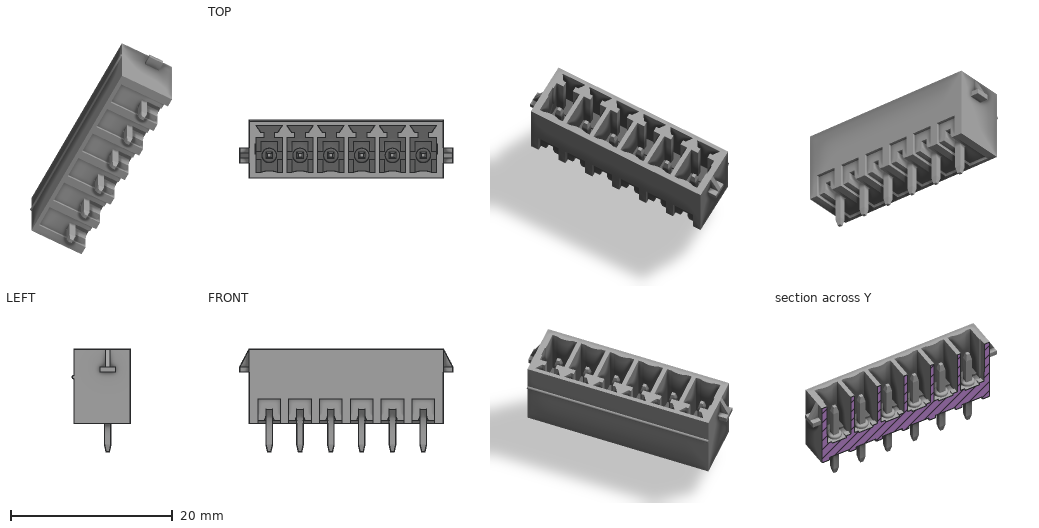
import cadquery as cq


POLES = 6
PITCH = 3.81
END_MARGIN = 2.5
LENGTH = (POLES - 1) * PITCH + 2 * END_MARGIN
POLE_X = [(i - (POLES - 1) / 2) * PITCH for i in range(POLES)]

DEPTH = 7.0
HEIGHT = 9.2
FRONT_Y = -2.8
BACK_Y = FRONT_Y + DEPTH

FLOOR_Z = 3.0
CELL_WIDTH = 3.25
CELL_FRONT_Y = FRONT_Y + 0.7
CELL_BACK_Y = FRONT_Y + 5.0
BULGE_WIDTH = 2.15
BULGE_RISE = 0.2

NECK_WIDTH = 1.35
SHOULDER_WIDTH = 2.1
SHOULDER_Y = FRONT_Y + 5.65
KEYWAY_BACK_Y = FRONT_Y + 6.5

FLOOR_RECESS = 0.3
RECESS_WIDTH = 2.0
RECESS_BACK_Y = FRONT_Y + 4.5
CROSS_BAR_WIDTH = 1.04
RECESS_Z = FLOOR_Z - FLOOR_RECESS

COLLAR_DIAMETER = 1.8
COLLAR_ROUND = 0.21
COLLAR_HEIGHT = 0.4

GROOVE_DEPTH = 0.12
GROOVE_FRONT_Y = FRONT_Y + 3.0
GROOVE_BACK_Y = FRONT_Y + 4.2
GROOVE_RISE = 2.0

NOTCH_WIDTH = 2.8
NOTCH_HEIGHT = 3.05
NOTCH_DEPTH = 0.45
CHANNEL_HEIGHT = 0.4
CHANNEL_BACK_Y = KEYWAY_BACK_Y
SLOT_TOP_Z = 1.75
LEAD_IN_WIDTH = 0.2
LEAD_IN_HEIGHT = 0.5

LATCH_REACH = 1.15
LATCH_WIDTH = 1.9
LATCH_THICKNESS = 0.65
LATCH_TOP_Z = HEIGHT - 2.2
LATCH_RIB_WIDTH = 0.57

RIDGE_RADIUS = 0.22
RIDGE_HEIGHT = 0.2
RIDGE_Z = HEIGHT - 3.45

PIN_WIDTH = 0.82
PIN_THICKNESS = 0.8
PIN_BOTTOM_Z = -3.5
PIN_TOP_Z = 7.5
PIN_TIP = 0.43
PIN_TAPER = 0.87


def box(x_size, x_centre, y_range, z_range):
    """Block centred on x_centre, between two Y and two Z levels."""
    y_size = y_range[1] - y_range[0]
    z_size = z_range[1] - z_range[0]
    corner = (x_centre - x_size / 2, y_range[0], z_range[0])
    return cq.Workplane("XY").box(x_size, y_size, z_size, centered=False).translate(corner)


def cell_cut(x):
    """Cell with its dovetail keyway and front bulge, down to the floor."""
    half_cell = CELL_WIDTH / 2
    half_bulge = BULGE_WIDTH / 2
    half_neck = NECK_WIDTH / 2
    half_shoulder = SHOULDER_WIDTH / 2
    return (
        cq.Workplane("XY", origin=(x, 0, FLOOR_Z))
        .moveTo(-half_cell, CELL_FRONT_Y)
        .lineTo(-half_bulge, CELL_FRONT_Y)
        .threePointArc((0, CELL_FRONT_Y + BULGE_RISE), (half_bulge, CELL_FRONT_Y))
        .lineTo(half_cell, CELL_FRONT_Y)
        .lineTo(half_cell, CELL_BACK_Y)
        .lineTo(half_neck, CELL_BACK_Y)
        .lineTo(half_neck, SHOULDER_Y)
        .lineTo(half_shoulder, SHOULDER_Y)
        .lineTo(half_cell, KEYWAY_BACK_Y)
        .lineTo(-half_cell, KEYWAY_BACK_Y)
        .lineTo(-half_shoulder, SHOULDER_Y)
        .lineTo(-half_neck, SHOULDER_Y)
        .lineTo(-half_neck, CELL_BACK_Y)
        .lineTo(-half_cell, CELL_BACK_Y)
        .close()
        .extrude(HEIGHT - FLOOR_Z)
    )


def floor_recess_cut(x):
    """Cross-shaped recess, kept within the cell and its curved front wall."""
    z_range = (RECESS_Z, FLOOR_Z)
    long_bar = box(RECESS_WIDTH, x, (CELL_FRONT_Y, RECESS_BACK_Y), z_range)
    cross_bar = box(CELL_WIDTH, x, (-CROSS_BAR_WIDTH / 2, CROSS_BAR_WIDTH / 2), z_range)
    cell_outline = cell_cut(x).translate((0, 0, -FLOOR_RECESS))
    return long_bar.union(cross_bar).intersect(cell_outline)


def collar(x):
    """Round collar standing on the recessed floor."""
    return (
        cq.Workplane("XY", origin=(x, 0, RECESS_Z))
        .circle(COLLAR_DIAMETER / 2)
        .extrude(COLLAR_HEIGHT)
        .faces(">Z")
        .edges()
        .fillet(COLLAR_ROUND)
    )


def underside_cut(x):
    """Front notch, shallow channel and pin slot with its lead-in."""
    notch = box(NOTCH_WIDTH, x, (FRONT_Y, FRONT_Y + NOTCH_DEPTH), (0, NOTCH_HEIGHT))
    channel = box(NOTCH_WIDTH, x, (FRONT_Y, CHANNEL_BACK_Y), (0, CHANNEL_HEIGHT))
    half_slot = PIN_WIDTH / 2
    half_mouth = half_slot + LEAD_IN_WIDTH
    lead_in_z = CHANNEL_HEIGHT + LEAD_IN_HEIGHT
    slot = (
        cq.Workplane("XZ", origin=(x, FRONT_Y, 0))
        .moveTo(-half_mouth, CHANNEL_HEIGHT)
        .lineTo(half_mouth, CHANNEL_HEIGHT)
        .lineTo(half_slot, lead_in_z)
        .lineTo(half_slot, SLOT_TOP_Z)
        .lineTo(-half_slot, SLOT_TOP_Z)
        .lineTo(-half_slot, lead_in_z)
        .close()
        .extrude(-(PIN_THICKNESS / 2 - FRONT_Y))
    )
    return notch.union(channel).union(slot)


def pin_hole_cut(x):
    """Through hole that the pin fills."""
    half = PIN_THICKNESS / 2
    return box(PIN_WIDTH, x, (-half, half), (0, HEIGHT))


def groove_cut(side):
    """Groove in an end cell's outer wall; side is -1 or 1."""
    wall_x = side * (POLE_X[-1] + CELL_WIDTH / 2)
    return (
        cq.Workplane("YZ", origin=(wall_x, 0, 0))
        .moveTo(GROOVE_FRONT_Y, FLOOR_Z)
        .lineTo(GROOVE_BACK_Y, FLOOR_Z + GROOVE_RISE)
        .lineTo(GROOVE_BACK_Y, HEIGHT)
        .lineTo(GROOVE_FRONT_Y, HEIGHT)
        .close()
        .extrude(side * GROOVE_DEPTH)
    )


def latch(side):
    """Bar with a sloping rib above it on an end face; side is -1 or 1."""
    face_x = side * LENGTH / 2
    outer_x = face_x + side * LATCH_REACH
    half_width = LATCH_WIDTH / 2
    bar = box(
        LATCH_REACH,
        (face_x + outer_x) / 2,
        (-half_width, half_width),
        (LATCH_TOP_Z - LATCH_THICKNESS, LATCH_TOP_Z),
    )
    rib = (
        cq.Workplane("XZ")
        .moveTo(face_x, LATCH_TOP_Z)
        .lineTo(outer_x, LATCH_TOP_Z)
        .lineTo(face_x, HEIGHT)
        .close()
        .extrude(LATCH_RIB_WIDTH / 2, both=True)
    )
    return bar.union(rib)


def back_ridge():
    """Rounded ridge over the full length of the back face."""
    centre_y = BACK_Y + RIDGE_HEIGHT - RIDGE_RADIUS
    return (
        cq.Workplane("YZ", origin=(-LENGTH / 2, 0, 0))
        .center(centre_y, RIDGE_Z)
        .circle(RIDGE_RADIUS)
        .extrude(LENGTH)
    )


def make_housing():
    body = box(LENGTH, 0, (FRONT_Y, BACK_Y), (0, HEIGHT)).union(back_ridge())
    for side in (-1, 1):
        body = body.union(latch(side))
    for x in POLE_X:
        body = body.cut(cell_cut(x)).cut(floor_recess_cut(x)).union(collar(x))
        body = body.cut(underside_cut(x)).cut(pin_hole_cut(x))
    for side in (-1, 1):
        body = body.cut(groove_cut(side))
    return body


def pin_tip(x, base_z, tip_z):
    """Four-sided taper from the full pin section to the small square end."""
    return (
        cq.Workplane("XY", origin=(x, 0, base_z))
        .rect(PIN_WIDTH, PIN_THICKNESS)
        .workplane(offset=tip_z - base_z)
        .rect(PIN_TIP, PIN_TIP)
        .loft(ruled=True)
    )


def make_pin(x):
    half = PIN_THICKNESS / 2
    shank_bottom = PIN_BOTTOM_Z + PIN_TAPER
    shank_top = PIN_TOP_Z - PIN_TAPER
    shank = box(PIN_WIDTH, x, (-half, half), (shank_bottom, shank_top))
    upper_tip = pin_tip(x, shank_top, PIN_TOP_Z)
    lower_tip = pin_tip(x, shank_bottom, PIN_BOTTOM_Z)
    return shank.union(upper_tip).union(lower_tip)


housing = make_housing()
pins = [make_pin(x) for x in POLE_X]

result = cq.Compound.makeCompound([housing.val(), *[pin.val() for pin in pins]])